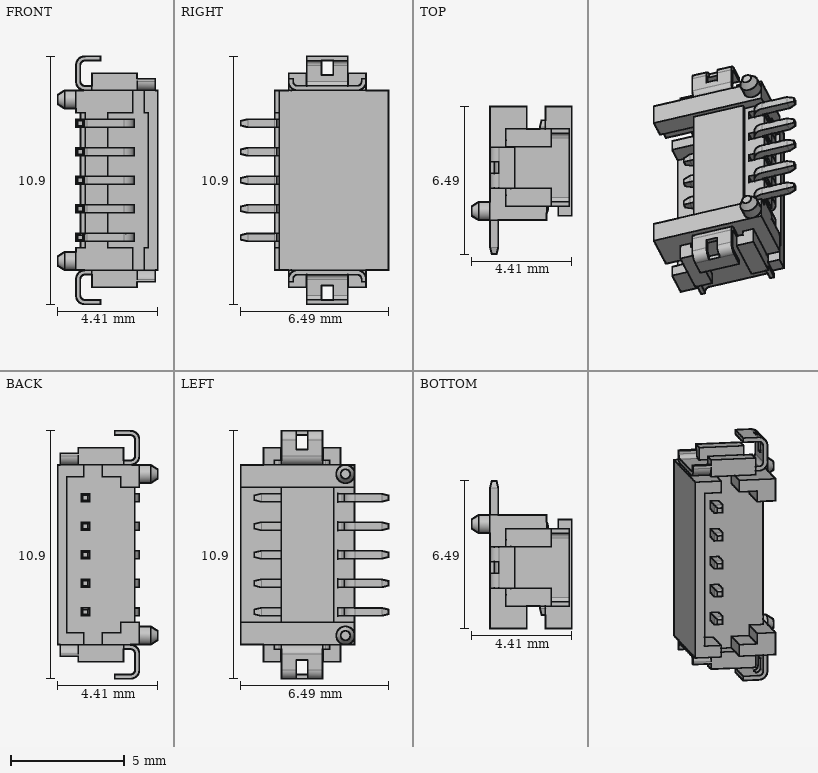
import cadquery as cq
import math


overall_length = 10.9

body_depth = 3.6
body_width = 5.0
body_length = 7.9
body_top = body_length / 2
end_block = 0.99
gap_half = body_top - end_block
core_face_x = 0.2
core_start_y = 0.92
core_end_y = 3.22
tooth_face_x = 0.4
tooth_end_x = 1.41
rear_floor_y = 0.73
cover_start_y = 0.2
block_end_x = 2.5
cover_end_x = 3.0
cover_inner_x = 3.18

cavity_start_x = 0.83
cavity_half = 3.43
key_slot_start_x = 1.62
key_slot_end_x = 2.44

peg_radius = 0.4
peg_tip_radius = 0.21
peg_straight = 0.5
peg_length = 0.81
peg_z = body_top - peg_radius

contact_count = 5
contact_pitch = 1.25
contact_thick = 0.37
contact_width = 0.36
contact_inner_radius = 0.1
contact_outer_radius = contact_inner_radius + contact_thick
contact_end_x = 2.56
leg_far_y = 0.46
leg_near_y = leg_far_y - contact_thick
tip_length = 0.3
tip_inset = 0.08
pin_end_y = -1.49
blade_end_y = 4.4

ear_start_x = 0.7
ear_end_x = 2.69
ear_height = 0.75
ear_width = 0.78
ears_span = 3.4
clip_center_y = 2.31

sheet = 0.2
bend_inner = 0.2
bend_outer = bend_inner + sheet
clip_width = 1.81
clip_height = (overall_length - body_length) / 2
clip_foot_x = 1.09
clip_end_x = 3.49
plate_start_x = 0.9
plate_width = 2.42
plate_corner = 0.2
lip_height = 0.51
notch_width = 0.5
notch_start = 0.68


def block(x0, x1, y0, y1, z0, z1):
    size = (x1 - x0, y1 - y0, z1 - z0)
    return cq.Workplane("XY").box(*size, centered=False).translate((x0, y0, z0))


def middle_block(x0, x1, y0, y1, half_length):
    """Block symmetric about Z = 0."""
    return block(x0, x1, y0, y1, -half_length, half_length)


def centered_block(x0, x1, width, z0, z1):
    """Block symmetric about the clip centre line in Y."""
    return block(x0, x1, clip_center_y - width / 2, clip_center_y + width / 2, z0, z1)


def make_housing():
    body = middle_block(0, body_depth, 0, body_width, body_top)

    body = body.cut(middle_block(block_end_x, cover_end_x, 0, rear_floor_y, body_top))
    body = body.cut(middle_block(cover_end_x, body_depth, 0, cover_start_y, body_top))

    body = body.cut(middle_block(tooth_end_x, cover_inner_x, 0, rear_floor_y, gap_half))

    body = body.cut(middle_block(0, tooth_face_x, 0, core_start_y, gap_half))
    body = body.cut(middle_block(0, core_face_x, core_start_y, core_end_y, gap_half))

    body = body.cut(middle_block(cavity_start_x, cover_inner_x, core_end_y, body_width, cavity_half))
    body = body.cut(middle_block(0, cavity_start_x, core_end_y, body_width, gap_half))
    body = body.cut(middle_block(key_slot_start_x, key_slot_end_x, core_end_y, body_width, body_top))
    return body


def make_contact_slot():
    half_width = contact_width / 2
    return middle_block(tooth_face_x, tooth_end_x, 0, rear_floor_y, half_width)


def make_contact():
    """S-bent contact: pin along -Y, leg along +X, blade along +Y into the cavity."""
    pin_shoulder = pin_end_y + tip_length
    blade_shoulder = blade_end_y - tip_length
    blade_x = contact_end_x - contact_thick
    outline = [
        (0, pin_shoulder),
        (contact_thick, pin_shoulder),
        (contact_thick, leg_near_y),
        (contact_end_x, leg_near_y),
        (contact_end_x, blade_shoulder),
        (blade_x, blade_shoulder),
        (blade_x, leg_far_y),
        (0, leg_far_y),
    ]
    contact = cq.Workplane("XY").polyline(outline).close().extrude(contact_width / 2, both=True)
    bends = [
        (0, leg_far_y, contact_outer_radius),
        (contact_thick, leg_near_y, contact_inner_radius),
        (contact_end_x, leg_near_y, contact_outer_radius),
        (blade_x, leg_far_y, contact_inner_radius),
    ]
    for x, y, radius in bends:
        contact = contact.edges(cq.NearestToPointSelector((x, y, 0))).fillet(radius)

    taper = math.degrees(math.atan(tip_inset / tip_length))
    for face in ("<Y", ">Y"):
        tip = contact.faces(face).workplane(centerOption="CenterOfMass")
        contact = tip.rect(contact_thick, contact_width).extrude(tip_length, taper=taper)
    return contact


def make_peg():
    """Tapered locating peg on the mounting face, at Z = 0."""
    profile = [
        (0, 0),
        (0, -peg_radius),
        (-peg_straight, -peg_radius),
        (-peg_length, -peg_tip_radius),
        (-peg_length, 0),
    ]
    peg = cq.Workplane("XY").polyline(profile).close().revolve(360, (0, 0), (1, 0))
    return peg.translate((0, peg_radius, 0))


def make_ears():
    """Pair of ears with a slot under them for the clip plate, based at Z = 0."""
    ears = centered_block(ear_start_x, ear_end_x, ears_span, 0, ear_height)
    ears = ears.cut(centered_block(ear_start_x, ear_end_x, ears_span - 2 * ear_width, 0, ear_height))
    slot_end_x = plate_start_x + plate_corner
    return ears.cut(centered_block(ear_start_x, slot_end_x, plate_width, 0, sheet))


def make_clip():
    """Solder clip based at Z = 0: C-shaped hook, flat plate and two upturned lips."""
    hook = centered_block(0, clip_foot_x, clip_width, 0, clip_height)
    hook = hook.edges("|Y and <X").fillet(bend_outer)
    hook_inside = centered_block(sheet, clip_foot_x, clip_width, sheet, clip_height - sheet)
    hook = hook.cut(hook_inside.edges("|Y and <X").fillet(bend_inner))
    hook = hook.cut(centered_block(0, bend_outer, notch_width, notch_start, clip_height))

    plate = centered_block(plate_start_x, clip_end_x, plate_width, 0, sheet)
    plate = plate.edges("|Z and <X").fillet(plate_corner)

    lips = centered_block(ear_end_x, clip_end_x, ears_span, 0, lip_height)
    lips = lips.edges("|X and <Z").fillet(bend_outer)
    lips_inside = centered_block(ear_end_x, clip_end_x, ears_span - 2 * sheet, sheet, lip_height)
    lips = lips.cut(lips_inside.edges("|X and <Z").fillet(bend_inner))
    return hook.union(plate).union(lips)


result = make_housing()

contact_slot = make_contact_slot()
contact = make_contact()
for index in range(contact_count):
    offset = (0, 0, (index - (contact_count - 1) / 2) * contact_pitch)
    result = result.cut(contact_slot.translate(offset))
    result = result.union(contact.translate(offset))

peg = make_peg()
end_fittings = make_ears().union(make_clip()).translate((0, 0, body_top))
end_fittings = end_fittings.union(peg.translate((0, 0, peg_z)))
result = result.union(end_fittings).union(end_fittings.mirror("XY"))